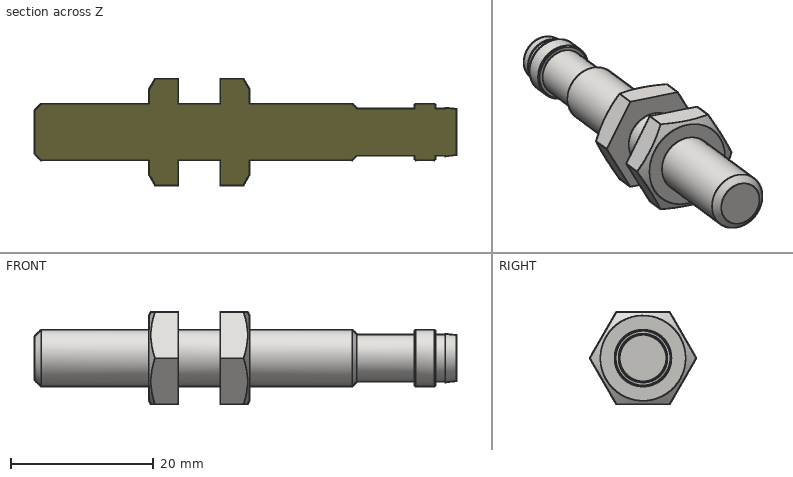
import cadquery as cq
import math

length = 59.3
barrel_diameter = 8.0
barrel_end = 45.3
front_face_diameter = 6.05
front_edge_diameter = 6.5
front_edge_length = 0.2
front_chamfer_length = 0.95

neck_diameter = 6.7
collar_start = 53.35
collar_end = 56.35
collar_chamfer = 0.2
tip_start = 57.7
tip_start_diameter = 6.9
tip_end_diameter = 6.5

nut_across_flats = 13.0
nut_thickness = 4.15
front_nut_start = 16.05
rear_nut_start = 26.1
nut_face_diameter = 12.0
nut_chamfer_angle = 30.0


def make_body():
    """Revolve the stepped barrel, neck, collar and tapered tip about X."""
    barrel_radius = barrel_diameter / 2
    neck_radius = neck_diameter / 2
    rear_chamfer = barrel_radius - neck_radius
    collar_edge_radius = barrel_radius - collar_chamfer
    half_profile = [
        (0, 0),
        (0, front_face_diameter / 2),
        (front_edge_length, front_edge_diameter / 2),
        (front_chamfer_length, barrel_radius),
        (barrel_end - rear_chamfer, barrel_radius),
        (barrel_end, neck_radius),
        (collar_start, neck_radius),
        (collar_start, collar_edge_radius),
        (collar_start + collar_chamfer, barrel_radius),
        (collar_end - collar_chamfer, barrel_radius),
        (collar_end, collar_edge_radius),
        (collar_end, neck_radius),
        (tip_start, neck_radius),
        (tip_start, tip_start_diameter / 2),
        (length, tip_end_diameter / 2),
        (length, 0),
    ]
    return cq.Workplane("XY").polyline(half_profile).close().revolve(360, (0, 0, 0), (1, 0, 0))


def make_nut():
    """Make a hexagonal nut from X = 0, with its conical chamfer on the X = 0 side."""
    corner_diameter = nut_across_flats / math.cos(math.radians(30))
    corner_radius = corner_diameter / 2
    face_radius = nut_face_diameter / 2
    chamfer_depth = (corner_radius - face_radius) * math.tan(math.radians(nut_chamfer_angle))
    hexagon = cq.Workplane("YZ").polygon(6, corner_diameter).extrude(nut_thickness)
    envelope_profile = [
        (0, 0),
        (0, face_radius),
        (chamfer_depth, corner_radius),
        (nut_thickness, corner_radius),
        (nut_thickness, 0),
    ]
    envelope = cq.Workplane("XY").polyline(envelope_profile).close().revolve(360, (0, 0, 0), (1, 0, 0))
    return hexagon.intersect(envelope)


nut = make_nut()
front_nut = nut.translate((front_nut_start, 0, 0))
rear_nut = nut.mirror("YZ").translate((rear_nut_start + nut_thickness, 0, 0))

result = make_body().union(front_nut).union(rear_nut)